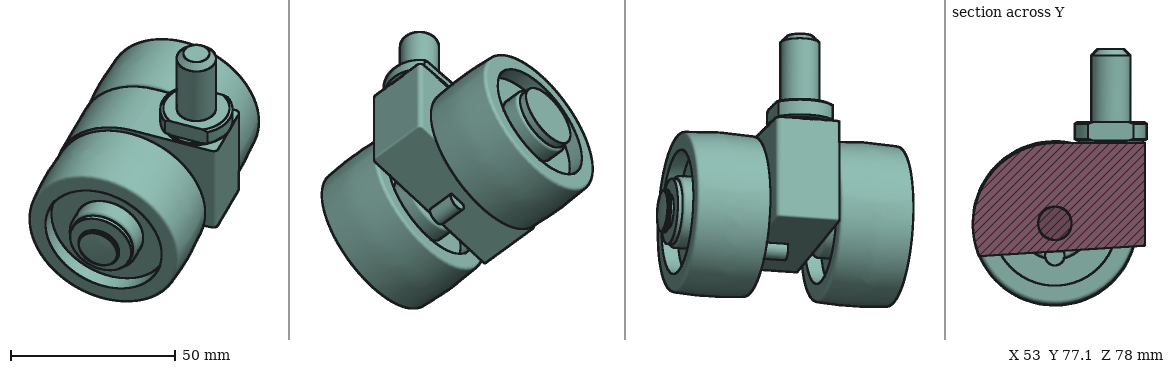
import cadquery as cq
import math


overall_height = 78.0

wheel_radius = 50.0 / 2
wheel_edge_radius = 24.4
wheel_width = 23.0
wheel_edge_round = 1.0
hub_radius = 11.0
hub_round = 1.0
recess_radius = 18.95
recess_depth = 5.0
hub_length = 24.95

housing_width = 20.05
housing_back = 27.45
housing_front_radius = 24.95
housing_top = 24.5
housing_bottom_back = -6.9
housing_bottom_front = -10.1
housing_corner_round = 1.5
housing_bottom_round = 0.7
peg_radius = 3.0
peg_bottom = -12.8
peg_length = 8.5

stem_x = 17.0
stem_radius = 6.0
stem_chamfer = 2.0
collar_radius = 11.0
flats_width = 17.0
collar_chamfer_width = 0.9
collar_chamfer_height = 0.55
collar_bottom = 25.1
collar_top = 30.8
seat_radius = 9.8
stem_top = overall_height - wheel_radius

axle_radius = 5.0
flange_radius = 10.0
head_thickness = 2.5
washer_thickness = 1.5
button_neck_radius = 5.1
button_radius = 6.55
button_dome_radius = 6.25
button_shoulder_radius = 5.7
button_shoulder_start = 0.7
button_rim_start = 1.25
button_rim_end = 1.8
button_dome_start = 2.35
button_height = 3.1

hub_inner_y = housing_width / 2
hub_outer_y = hub_inner_y + hub_length
wheel_center_y = hub_inner_y + hub_length / 2


def y_cylinder(radius, y_start, y_end, z=0.0):
    """Cylinder along Y between two Y positions, at height z above the axle."""
    start = cq.Vector(0, y_start, z)
    return cq.Workplane(obj=cq.Solid.makeCylinder(radius, y_end - y_start, start, cq.Vector(0, 1, 0)))


def make_wheel(center_y):
    """Crowned wheel with a recess on both faces and a rounded hub, bored for the axle."""
    half_width = wheel_width / 2
    tread = (
        cq.Workplane("XY")
        .moveTo(0, -half_width)
        .lineTo(wheel_edge_radius, -half_width)
        .threePointArc((wheel_radius, 0), (wheel_edge_radius, half_width))
        .lineTo(0, half_width)
        .close()
        .revolve(360, (0, 0, 0), (0, 1, 0))
        .faces("<Y or >Y")
        .edges()
        .fillet(wheel_edge_round)
    )
    floor_y = half_width - recess_depth
    for y_start in (-half_width, floor_y):
        tread = tread.cut(y_cylinder(recess_radius, y_start, y_start + recess_depth))
    hub = y_cylinder(hub_radius, -hub_length / 2, hub_length / 2).edges().fillet(hub_round)
    bore = y_cylinder(axle_radius, -hub_length / 2, hub_length / 2)
    return tread.union(hub).cut(bore).translate((0, center_y, 0))


def make_housing():
    """Block with a round front, a sloping underside and a peg below, bored for the axle."""
    front_center_z = housing_top - housing_front_radius
    front_drop = front_center_z - housing_bottom_front
    front_x = -math.sqrt(housing_front_radius**2 - front_drop**2)
    block = (
        cq.Workplane("XZ")
        .moveTo(0, housing_top)
        .lineTo(housing_back, housing_top)
        .lineTo(housing_back, housing_bottom_back)
        .lineTo(front_x, housing_bottom_front)
        .threePointArc((-housing_front_radius, front_center_z), (0, housing_top))
        .close()
        .extrude(housing_width / 2, both=True)
        .edges("|Z and >X")
        .fillet(housing_corner_round)
    )
    block = block.faces(">X").edges("<Z").fillet(housing_bottom_round)
    peg = y_cylinder(peg_radius, -peg_length, 0, z=peg_bottom + peg_radius)
    bore = y_cylinder(axle_radius, -housing_width / 2, housing_width / 2)
    return block.union(peg).cut(bore)


def make_stem():
    """Chamfered pin on a collar with two wrench flats, standing on a thin round seat."""
    pin = (
        cq.Workplane("XY", origin=(stem_x, 0, housing_top))
        .circle(stem_radius)
        .extrude(stem_top - housing_top)
        .faces(">Z")
        .chamfer(stem_chamfer)
    )
    seat = (
        cq.Workplane("XY", origin=(stem_x, 0, housing_top))
        .circle(seat_radius)
        .extrude(collar_bottom - housing_top)
    )
    collar_height = collar_top - collar_bottom
    rim_radius = collar_radius - collar_chamfer_width
    collar = (
        cq.Workplane("XZ")
        .moveTo(0, 0)
        .lineTo(rim_radius, 0)
        .lineTo(collar_radius, collar_chamfer_height)
        .lineTo(collar_radius, collar_height - collar_chamfer_height)
        .lineTo(rim_radius, collar_height)
        .lineTo(0, collar_height)
        .close()
        .revolve(360, (0, 0, 0), (0, 1, 0))
        .translate((stem_x, 0, collar_bottom))
    )
    flats = (
        cq.Workplane("XY", origin=(stem_x, 0, collar_bottom))
        .rect(2 * collar_radius, flats_width)
        .extrude(collar_height)
    )
    return collar.intersect(flats).union(seat).union(pin)


def make_axle():
    """Axle with a flat head at +Y and a washer and domed button at -Y."""
    head_y = hub_outer_y + head_thickness
    washer_y = -hub_outer_y - washer_thickness
    tip_y = washer_y - button_height
    dome_y = washer_y - button_dome_start
    dome_height = button_height - button_dome_start
    dome_sphere_radius = (button_dome_radius**2 + dome_height**2) / (2 * dome_height)
    return (
        cq.Workplane("XY")
        .moveTo(0, head_y)
        .lineTo(flange_radius, head_y)
        .lineTo(flange_radius, hub_outer_y)
        .lineTo(axle_radius, hub_outer_y)
        .lineTo(axle_radius, -hub_outer_y)
        .lineTo(flange_radius, -hub_outer_y)
        .lineTo(flange_radius, washer_y)
        .lineTo(button_neck_radius, washer_y)
        .lineTo(button_shoulder_radius, washer_y - button_shoulder_start)
        .lineTo(button_radius, washer_y - button_rim_start)
        .lineTo(button_radius, washer_y - button_rim_end)
        .lineTo(button_dome_radius, dome_y)
        .radiusArc((0, tip_y), dome_sphere_radius)
        .close()
        .revolve(360, (0, 0, 0), (0, 1, 0))
    )


housing = make_housing()
wheels = [make_wheel(side * wheel_center_y) for side in (-1, 1)]
stem = make_stem()
axle = make_axle()

result = cq.Compound.makeCompound(
    [housing.val(), *[wheel.val() for wheel in wheels], stem.val(), axle.val()]
)